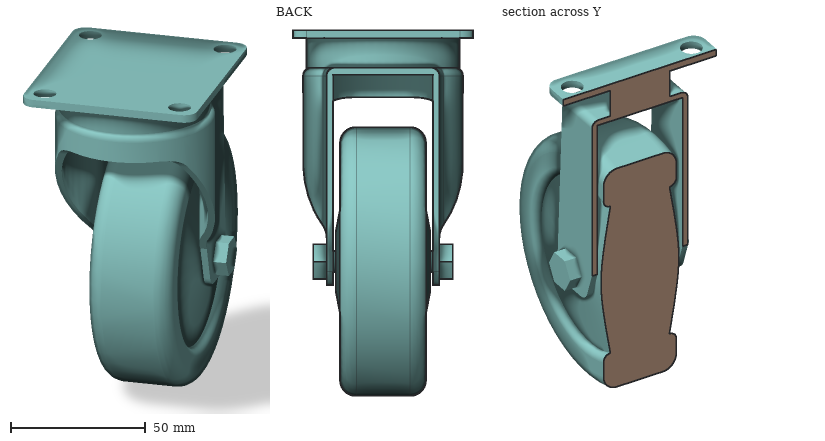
import cadquery as cq
import math


PLATE_X = 67.0
PLATE_Y = 77.0
PLATE_THICKNESS = 3.0
PLATE_CORNER_RADIUS = 5.0
HOLE_DIAMETER = 8.5
HOLE_SPACING_X = 52.0
HOLE_SPACING_Y = 62.0

HOUSING_RADIUS = 28.5
HOUSING_HEIGHT = 11.0

WHEEL_OFFSET = 39.0
WHEEL_RADIUS = 50.0
OVERALL_HEIGHT = 136.0
WHEEL_HALF_WIDTH = 16.0
TREAD_ROUND = 6.0
WEB_RADIUS = 35.0
RIM_ROUND = 3.0
HUB_RADIUS = 11.0
HUB_HALF_WIDTH = 17.6
AXLE_Z = WHEEL_RADIUS - OVERALL_HEIGHT

FORK_TOP = -(PLATE_THICKNESS + HOUSING_HEIGHT)
FORK_RADIUS = 29.75
FORK_THICKNESS = 2.5
LEG_HALF_SPAN = 21.0
LEG_BLEND_RADIUS = 6.0
FORK_TOP_ROUND = 3.0
SKIRT_BOTTOM = -25.0
SKIRT_CORNER_Y = -19.8
SKIRT_CORNER_RADIUS = 12.0
KNEE_Y = 23.8
KNEE_Z = -77.6
LEG_BOTTOM = -94.8
LEG_BOTTOM_FRONT_Y = 29.7
LEG_BOTTOM_BACK_Y = 50.0
LEG_TOP_BACK_Y = 46.0
LEG_CORNER_RADIUS = 5.0
MARGIN = 5.0

BOLT_OFFSET = 40.0
BOLT_HEAD_FLATS = 13.0
BOLT_HEAD_HEIGHT = 5.0
AXLE_DIAMETER = 8.0


def mounting_plate():
    plate = cq.Workplane("XY").box(PLATE_X, PLATE_Y, PLATE_THICKNESS, centered=(True, True, False))
    plate = plate.edges("|Z").fillet(PLATE_CORNER_RADIUS)
    plate = plate.faces(">Z").workplane().rarray(HOLE_SPACING_X, HOLE_SPACING_Y, 2, 2).hole(HOLE_DIAMETER)
    return plate.translate((0, 0, -PLATE_THICKNESS))


def swivel_housing():
    return cq.Workplane("XY").workplane(offset=FORK_TOP).circle(HOUSING_RADIUS).extrude(HOUSING_HEIGHT)


def fork_prism(inset, top):
    """Fork footprint shrunk by inset, filled from top down past the leg ends."""
    radius = FORK_RADIUS - inset
    half_span = LEG_HALF_SPAN - inset
    blend = LEG_BLEND_RADIUS + inset
    back_y = LEG_BOTTOM_BACK_Y + MARGIN

    blend_x = half_span + blend
    blend_y = math.sqrt((radius + blend) ** 2 - blend_x ** 2)
    touch_x = blend_x * radius / (radius + blend)
    touch_y = blend_y * radius / (radius + blend)
    middle_angle = math.pi + math.atan2(blend_y, blend_x) / 2
    middle_x = blend_x + blend * math.cos(middle_angle)
    middle_y = blend_y + blend * math.sin(middle_angle)

    return (
        cq.Workplane("XY")
        .workplane(offset=top)
        .moveTo(half_span, back_y)
        .lineTo(half_span, blend_y)
        .threePointArc((middle_x, middle_y), (touch_x, touch_y))
        .threePointArc((0, -radius), (-touch_x, touch_y))
        .threePointArc((-middle_x, middle_y), (-half_span, blend_y))
        .lineTo(-half_span, back_y)
        .close()
        .extrude(LEG_BOTTOM - MARGIN - top)
    )


def fork_side_outline():
    """Block across X with the fork's side outline, used to trim the shell."""
    front_y = -FORK_RADIUS - MARGIN
    skirt_corner = (SKIRT_CORNER_Y, SKIRT_BOTTOM)
    leg_corners = [(LEG_BOTTOM_FRONT_Y, LEG_BOTTOM), (LEG_BOTTOM_BACK_Y, LEG_BOTTOM)]
    half_length = FORK_RADIUS + MARGIN
    block = (
        cq.Workplane("YZ")
        .polyline([
            (front_y, FORK_TOP),
            (front_y, SKIRT_BOTTOM),
            skirt_corner,
            (KNEE_Y, KNEE_Z),
            *leg_corners,
            (LEG_TOP_BACK_Y, FORK_TOP),
        ])
        .close()
        .extrude(half_length, both=True)
    )

    def round_corner(solid, corner, radius):
        edge = cq.selectors.NearestToPointSelector((0, *corner))
        return solid.edges("|X").edges(edge).fillet(radius)

    block = round_corner(block, skirt_corner, SKIRT_CORNER_RADIUS)
    for corner in leg_corners:
        block = round_corner(block, corner, LEG_CORNER_RADIUS)
    return block


def fork():
    outer = fork_prism(0, FORK_TOP)
    outer = outer.faces(">Z").edges("not >Y").fillet(FORK_TOP_ROUND)
    inner = fork_prism(FORK_THICKNESS, FORK_TOP - FORK_THICKNESS)
    return outer.cut(inner).intersect(fork_side_outline())


def wheel():
    """Tire ring with rounded tread and rim edges around a web that cones out to the hub."""
    tire = (
        cq.Workplane("YZ")
        .workplane(offset=-WHEEL_HALF_WIDTH)
        .circle(WHEEL_RADIUS)
        .circle(WEB_RADIUS)
        .extrude(2 * WHEEL_HALF_WIDTH)
    )
    tire = tire.edges(cq.selectors.RadiusNthSelector(0)).fillet(RIM_ROUND)
    tire = tire.edges(cq.selectors.RadiusNthSelector(-1)).fillet(TREAD_ROUND)
    web_edge_half_width = WHEEL_HALF_WIDTH - RIM_ROUND
    web = (
        cq.Workplane("XY")
        .polyline([
            (-HUB_HALF_WIDTH, 0),
            (-HUB_HALF_WIDTH, HUB_RADIUS),
            (-web_edge_half_width, WEB_RADIUS),
            (web_edge_half_width, WEB_RADIUS),
            (HUB_HALF_WIDTH, HUB_RADIUS),
            (HUB_HALF_WIDTH, 0),
        ])
        .close()
        .revolve(360, (0, 0, 0), (1, 0, 0))
    )
    return tire.union(web).translate((0, WHEEL_OFFSET, AXLE_Z))


def wheel_bolt():
    head_corners = BOLT_HEAD_FLATS / math.cos(math.pi / 6)
    axle = cq.Workplane("YZ").circle(AXLE_DIAMETER / 2).extrude(LEG_HALF_SPAN, both=True)
    head = (
        cq.Workplane("YZ")
        .workplane(offset=LEG_HALF_SPAN)
        .polygon(6, head_corners)
        .extrude(BOLT_HEAD_HEIGHT)
    )
    bolt = axle.union(head).union(head.mirror("YZ"))
    return bolt.translate((0, BOLT_OFFSET, AXLE_Z))


result = mounting_plate().union(swivel_housing()).union(fork()).union(wheel()).union(wheel_bolt())